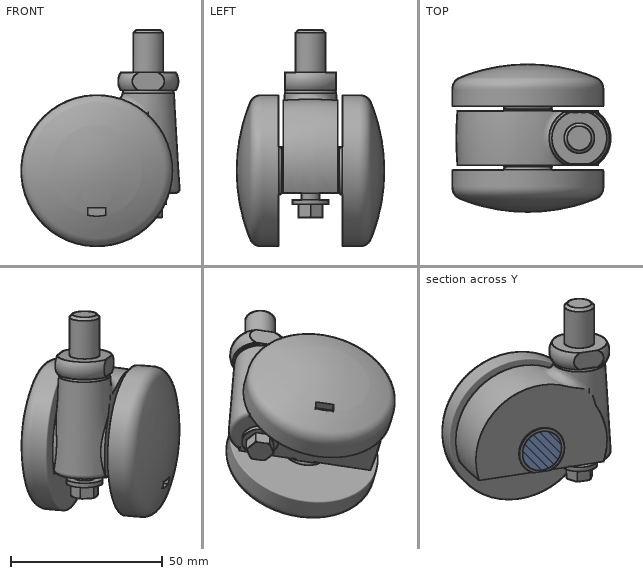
import cadquery as cq
import math


wheel_radius = 25.0
wheel_inner_y = 10.5
wheel_outer_y = 24.415
inner_edge_fillet = 0.4
shoulder_radius = 4.0
shoulder_start_y = 16.25
dome_radius = 59.2
cap_radius = 15.0
hub_radius = 8.0
hub_edge_radius = 1.0

notch_width = 6.0
notch_top = 12.3
notch_floor_y = 20.4

housing_half_width = 9.0
housing_side_radius = 23.3
housing_mid_radius = 23.65
housing_bottom = -7.4
boss_length = 0.5
boss_y = housing_half_width + boss_length

stem_x = 17.0
column_top = 26.5
column_top_radius = 8.5
column_bottom_radius = 10.49
column_bottom_fillet = 1.5
column_root_fillet = 2.8
root_half_width = 14.0
collar_height = 1.0
collar_inset = 0.2

stud_radius = 5.0
stud_top = 46.5
stud_chamfer = 1.0
nut_top = 32.5
nut_radius = 10.0
nut_end_radius = 9.05
nut_flats = 17.0
shank_radius = 3.0
washer_radius = 6.0
washer_top = -9.65
washer_thickness = 1.5
bolt_head_flats = 8.0
bolt_head_bottom = -15.5
bolt_head_chamfer = 0.3


def revolve_about_y(profile):
    """Revolve a profile of (radius along X, Y) a full turn about the Y axis."""
    return profile.close().revolve(360, (0, 0, 0), (0, 1, 0))


def make_wheel():
    """Wheel on the +Y side: hub, flat inner face, rounded shoulder and domed outer face."""
    dome_centre_y = wheel_outer_y - dome_radius
    shoulder_centre_r = wheel_radius - shoulder_radius

    def dome_point(radius):
        return radius, dome_centre_y + math.sqrt(dome_radius**2 - radius**2)

    def shoulder_point(angle):
        return (
            shoulder_centre_r + shoulder_radius * math.cos(angle),
            shoulder_start_y + shoulder_radius * math.sin(angle),
        )

    tangent_angle = math.atan2(shoulder_start_y - dome_centre_y, shoulder_centre_r)
    shoulder_end = shoulder_point(tangent_angle)
    diagonal = math.sqrt(0.5)

    profile = (
        cq.Workplane("XY")
        .moveTo(0, boss_y)
        .lineTo(hub_radius - hub_edge_radius, boss_y)
        .threePointArc(
            (
                hub_radius - hub_edge_radius * (1 - diagonal),
                boss_y + hub_edge_radius * (1 - diagonal),
            ),
            (hub_radius, boss_y + hub_edge_radius),
        )
        .lineTo(wheel_radius - inner_edge_fillet, wheel_inner_y)
        .threePointArc(
            (
                wheel_radius - inner_edge_fillet * (1 - diagonal),
                wheel_inner_y + inner_edge_fillet * (1 - diagonal),
            ),
            (wheel_radius, wheel_inner_y + inner_edge_fillet),
        )
        .lineTo(wheel_radius, shoulder_start_y)
        .threePointArc(shoulder_point(tangent_angle / 2), shoulder_end)
        .threePointArc(dome_point((shoulder_end[0] + cap_radius) / 2), dome_point(cap_radius))
        .threePointArc(dome_point(cap_radius / 2), (0, wheel_outer_y))
    )
    return revolve_about_y(profile).cut(make_notch(), clean=False)


def make_notch():
    """Notch at the lower edge of the cap, bounded below by the cap circle."""
    cap_cylinder = (
        cq.Workplane("XZ", origin=(0, notch_floor_y, 0))
        .circle(cap_radius)
        .extrude(-(wheel_outer_y - notch_floor_y))
    )
    block = cq.Workplane("XY").box(
        notch_width, wheel_outer_y, cap_radius, centered=(True, False, False)
    )
    block = block.translate((0, notch_floor_y, -notch_top - cap_radius))
    return cap_cylinder.intersect(block)


def make_drum(half_width):
    """Slightly barrelled drum, the same barrel whatever its half width."""
    rise = housing_mid_radius - housing_side_radius
    barrel_radius = (housing_half_width**2 + rise**2) / (2 * rise)
    drop = barrel_radius - math.sqrt(barrel_radius**2 - half_width**2)
    side_radius = housing_mid_radius - drop
    profile = (
        cq.Workplane("XY")
        .moveTo(0, -half_width)
        .lineTo(side_radius, -half_width)
        .threePointArc((housing_mid_radius, 0), (side_radius, half_width))
        .lineTo(0, half_width)
    )
    return revolve_about_y(profile)


def make_column():
    """Tapered column around the stem, its lower edge rounded."""
    return (
        cq.Workplane("XZ", origin=(stem_x, 0, 0))
        .moveTo(0, housing_bottom)
        .lineTo(column_bottom_radius, housing_bottom)
        .lineTo(column_top_radius, column_top)
        .lineTo(0, column_top)
        .close()
        .revolve(360, (0, 0, 0), (0, 1, 0))
        .faces("<Z")
        .edges()
        .fillet(column_bottom_fillet)
    )


def make_root_fillet(column):
    """Front part of drum and column with their shared edge filleted, wider than the housing."""
    front = cq.Workplane("XY").box(
        stem_x, 2 * root_half_width, column_top, centered=(False, True, False)
    )
    blend = make_drum(root_half_width).union(column).intersect(front)
    root_edge = cq.selectors.BoxSelector(
        (stem_x - column_bottom_radius, -1, column_top / 2), (stem_x - 1, 1, column_top - 1)
    )
    return blend.edges(root_edge).fillet(column_root_fillet)


def make_housing():
    """Drum, column and bosses as one body, cut flat below and bored for the stem."""
    size = 4 * wheel_radius
    below = cq.Workplane("XY").box(size, size, size, centered=(True, True, False))
    below = below.translate((0, 0, housing_bottom - size))
    slab = cq.Workplane("XY").box(size, 2 * housing_half_width, size)
    bosses = cq.Workplane("XZ").circle(hub_radius).extrude(boss_y, both=True)

    column = make_column()
    housing = make_drum(housing_half_width).union(column.intersect(slab))
    housing = housing.union(make_root_fillet(column).intersect(slab)).union(bosses).cut(below)

    stem_bore = (
        cq.Workplane("XY", origin=(stem_x, 0, housing_bottom))
        .circle(shank_radius)
        .extrude(column_top - housing_bottom)
    )
    return housing.cut(make_collar_trim()).cut(stem_bore)


def make_collar_trim():
    """Ring that leaves a slim chamfer round the top of the column."""
    return (
        cq.Workplane("XZ", origin=(stem_x, 0, 0))
        .moveTo(column_top_radius - collar_inset, column_top)
        .lineTo(column_top_radius + collar_inset, column_top)
        .lineTo(column_top_radius + collar_inset, column_top - collar_height)
        .lineTo(column_top_radius, column_top - collar_height)
        .close()
        .revolve(360, (0, 0, 0), (0, 1, 0))
    )


def make_stem():
    """Plain stud, barrel-shaped nut with two flats, shank through the housing, washer and bolt head."""
    nut_mid = (column_top + nut_top) / 2
    nut = (
        cq.Workplane("XZ")
        .moveTo(0, column_top)
        .lineTo(nut_end_radius, column_top)
        .threePointArc((nut_radius, nut_mid), (nut_end_radius, nut_top))
        .lineTo(0, nut_top)
        .close()
        .revolve(360, (0, 0, 0), (0, 1, 0))
    )
    flats = cq.Workplane("XY", origin=(0, 0, nut_mid)).box(
        2 * nut_radius, nut_flats, nut_top - column_top
    )
    nut = nut.intersect(flats)

    stud = (
        cq.Workplane("XY", origin=(0, 0, nut_top))
        .circle(stud_radius)
        .extrude(stud_top - nut_top)
        .faces(">Z")
        .chamfer(stud_chamfer)
    )
    shank = (
        cq.Workplane("XY", origin=(0, 0, washer_top))
        .circle(shank_radius)
        .extrude(column_top - washer_top)
    )
    washer_bottom = washer_top - washer_thickness
    washer = (
        cq.Workplane("XY", origin=(0, 0, washer_bottom))
        .circle(washer_radius)
        .extrude(washer_thickness)
    )
    bolt_head_height = washer_bottom - bolt_head_bottom
    bolt_head = (
        cq.Workplane("XY", origin=(0, 0, bolt_head_bottom))
        .transformed(rotate=(0, 0, 30))
        .polygon(6, bolt_head_flats, circumscribed=True)
        .extrude(bolt_head_height)
    )
    corner_rounding = (
        cq.Workplane("XY", origin=(0, 0, bolt_head_bottom))
        .circle(bolt_head_flats / 2 / math.cos(math.pi / 6))
        .extrude(bolt_head_height)
        .faces("<Z")
        .chamfer(bolt_head_chamfer)
    )
    bolt_head = bolt_head.intersect(corner_rounding)

    stem = nut.union(stud).union(shank).union(washer).union(bolt_head)
    return stem.translate((stem_x, 0, 0))


housing = make_housing()
stem = make_stem()
wheel = make_wheel()
wheels = [wheel, wheel.mirror("XZ")]

result = cq.Compound.makeCompound([housing.val(), stem.val(), *[w.val() for w in wheels]])